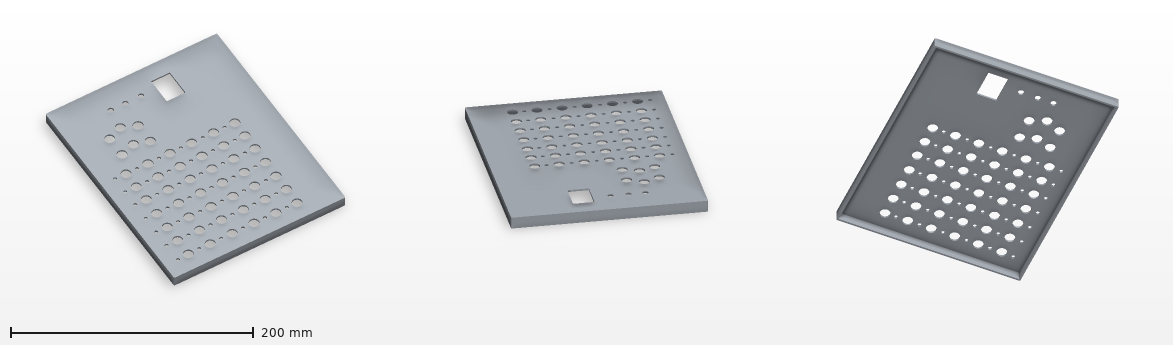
import cadquery as cq

LENGTH = 204.3
WIDTH = 165.2
HEIGHT = 10.0
CORNER_RADIUS = 1.0
WALL = 1.6
PANEL_THICKNESS = WALL

LARGE_DIAMETER = 9.0
SMALL_DIAMETER = 3.3
COLUMN_X = [-13.3, 2.9, 18.8, 35.7, 52.7, 69.2, 86.2]
COLUMN_SHIFT_Y = [0.2, 0.2, 0.2, 0, -0.2, -0.2, -0.2]
LARGE_ROW_Y = [45.8, 25.3, 4.3, -16.7, -38.0, -59.0]
SMALL_ROW_TOP_Y = 36.0
SMALL_ROW_SPAN = 105.6
LAST_SMALL_HOLE_SHIFT_X = 0.8

CLUSTER_OUTER_X = [-52.0, -32.7]
CLUSTER_MIDDLE_X = [-57.8, -37.0]
CLUSTER_MIDDLE_Y = -37.4
CLUSTER_ROW_PITCH = 13.7

MEDIUM_DIAMETER = 5.1
MEDIUM_X = -77.6
MEDIUM_Y = [-5.3, -20.5, -34.5]

WINDOW_LENGTH = 25.0
WINDOW_WIDTH = 18.0
WINDOW_CENTER = (-74.1, 18.8)


def make_tray():
    """Block with rounded upright corners, hollowed from below."""
    block = (
        cq.Workplane("XY")
        .rect(LENGTH, WIDTH)
        .extrude(HEIGHT)
        .edges("|Z")
        .fillet(CORNER_RADIUS)
    )
    cavity = (
        cq.Workplane("XY")
        .rect(LENGTH - 2 * WALL, WIDTH - 2 * WALL)
        .extrude(HEIGHT - PANEL_THICKNESS)
    )
    return block.cut(cavity)


def grid_points(rows):
    """Hole centres of the grid for the given rows, following the column stagger."""
    return [
        (x, y + shift)
        for x, shift in zip(COLUMN_X, COLUMN_SHIFT_Y)
        for y in rows
    ]


def cluster_points():
    """Three pairs of holes; the middle pair is offset to the left."""
    upper_y = CLUSTER_MIDDLE_Y + CLUSTER_ROW_PITCH
    lower_y = CLUSTER_MIDDLE_Y - CLUSTER_ROW_PITCH
    outer = [(x, y) for x in CLUSTER_OUTER_X for y in (upper_y, lower_y)]
    middle = [(x, CLUSTER_MIDDLE_Y) for x in CLUSTER_MIDDLE_X]
    return outer + middle


def hole_cutters(points, diameter):
    """Upright cylinders that pass through the whole height."""
    return cq.Workplane("XY").pushPoints(points).circle(diameter / 2).extrude(HEIGHT)


small_row_pitch = SMALL_ROW_SPAN / (len(LARGE_ROW_Y) - 1)
small_rows = [SMALL_ROW_TOP_Y - i * small_row_pitch for i in range(len(LARGE_ROW_Y))]
small_points = grid_points(small_rows)
last_x, last_y = small_points[-1]
small_points[-1] = (last_x + LAST_SMALL_HOLE_SHIFT_X, last_y)

medium_points = [(MEDIUM_X, y) for y in MEDIUM_Y]
window = cq.Workplane("XY").center(*WINDOW_CENTER).rect(WINDOW_LENGTH, WINDOW_WIDTH).extrude(HEIGHT)

result = (
    make_tray()
    .cut(hole_cutters(grid_points(LARGE_ROW_Y), LARGE_DIAMETER))
    .cut(hole_cutters(small_points, SMALL_DIAMETER))
    .cut(hole_cutters(cluster_points(), LARGE_DIAMETER))
    .cut(hole_cutters(medium_points, MEDIUM_DIAMETER))
    .cut(window)
)